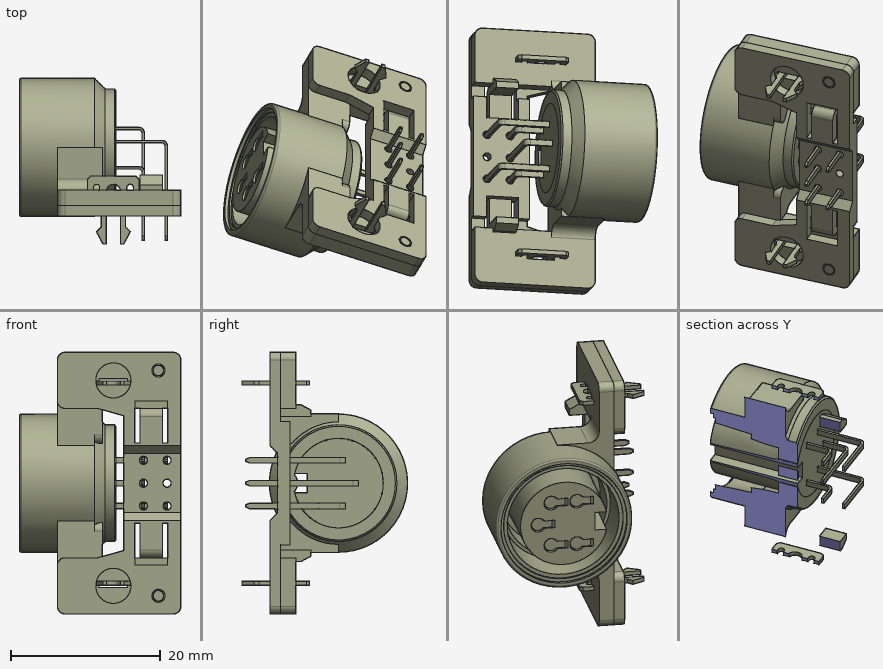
import cadquery as cq
import math


barrel_radius = 9.25
barrel_length = 12.88
cylinder_length = 10.0
collar_radius = 7.8
cone_end = cylinder_length + barrel_radius - collar_radius
barrel_edge = 0.2
mouth_fillet = 0.25
lip_radius = 8.58
lip_depth = 0.45
step_radius = 8.12
step_depth = 0.7
bore_mouth_radius = 7.6
bore_end_radius = 7.4
bore_depth = 6.0
seat_mouth_radius = 6.93
seat_end_radius = 6.75
floor_depth = cylinder_length

key_radius = 1.68
key_crest_y = -5.45

insert_radius = 6.0
insert_front_radius = 5.9
notch_half_width = 1.25
notch_floor_y = -4.2
contact_radius = 0.98
contact_floor_radius = 0.88
contact_depth = 0.28
contact_slot_width = 1.05
contact_slot_reach = 2.25
contact_slot_slope = 0.35

flange_front = 5.05
flange_rear = 21.55
half_height = 17.5
corner_radius = 1.05
flange_top_y = -5.7
joint_y = -7.75
plate_bottom_y = -9.17

shoulder_rear = 11.05
shoulder_half_width = 9.28
shoulder_fillet = 1.5
shoulder_inner_fillet = 1.12
cone_gap_half_width = 5.3
shoulder_inner_z = 3.5
opening_half_height = 9.98

peg_x = 18.55
peg_z = 15.05
peg_radius = 0.7
peg_hole_radius = 0.88

bar_front = 13.9
bar_corner_z = 9.0
slant_start_x = 10.43
bar_top_y = -6.48
bar_half_height = 8.25
recess_depth = 1.05
recess_half_height = 3.95
pin_hole_radius = 0.52

latch_slot_front = 15.4
latch_slot_rear = 19.78
latch_slot_start_z = 5.4
latch_slot_end_z = 10.95
latch_front = 16.05
latch_rear = 19.1
latch_root_radius = 1.05
latch_inner_z = opening_half_height - latch_root_radius
latch_tip_y = -3.68
latch_tip_z = 9.75
hook_z = 10.5
hook_slope_end_y = -5.05

clip_x = 12.53
clip_low_z = 13.1
clip_thickness = 0.55
clip_head_half_width = 3.45
clip_head_top_y = -3.85
clip_head_chamfer = 0.42
clip_leg_inner = 0.95
clip_leg_outer = 1.65
clip_root_outer = 1.82
clip_barb_outer = 2.15
clip_barb_end_y = -8.75
clip_relief_radius = 0.42
clip_relief_height = 0.77
clip_arch_center_y = -5.88
clip_hook_start_y = -10.65
clip_hook_tip_y = -11.27
clip_hook_tip = 2.28
clip_foot_outer = 1.4
clip_end_y = -12.9
clip_slot_half_width = 1.9
clip_slot_height = 0.85
clip_hole_radius = 2.35
clip_hole_z = 13.72

pin_thickness = 0.35
pin_width = 0.77
pin_bend_radius = 0.77
pin_end_y = -12.42
pin_tip_length = 0.55
pin_tip_width = 0.28
pin_embed = 2.8
pin_drop = 0.98
pin_pitch = 3.05
near_pin_x = 16.52
far_pin_x = 19.6
near_hole_x = 16.55
far_hole_x = 19.7

contacts = [
    (3.5, 0, near_pin_x),
    (1.75, pin_pitch, far_pin_x),
    (1.75, -pin_pitch, far_pin_x),
    (-1.75, pin_pitch, near_pin_x),
    (-1.75, -pin_pitch, near_pin_x),
]


def box(x0, x1, y0, y1, z0, z1):
    """Box between two values on each axis."""
    size = (x1 - x0, y1 - y0, z1 - z0)
    return cq.Workplane("XY").box(*size, centered=False).translate((x0, y0, z0))


def x_cylinder(radius, x0, x1, y=0.0, z=0.0):
    """Cylinder along X."""
    return cq.Workplane("YZ", origin=(x0, y, z)).circle(radius).extrude(x1 - x0)


def y_cylinder(radius, x, z, y0, y1):
    """Cylinder along Y from y0 up to y1."""
    return cq.Workplane("XZ", origin=(x, y1, z)).circle(radius).extrude(y1 - y0)


def revolve_x(points):
    """Revolve a closed outline of (X, radius) points about the X axis."""
    return cq.Workplane("XY").polyline(points).close().revolve(360, (0, 0, 0), (1, 0, 0))


def with_mirror(shape):
    """The shape together with its mirror image about Z = 0."""
    return shape.union(shape.mirror("XY"))


def rounded_slab(y0, y1):
    """Slab with the outline that flange and plate share."""
    slab = box(flange_front, flange_rear, y0, y1, -half_height, half_height)
    return slab.edges("|Y").fillet(corner_radius)


def barrel_outside():
    barrel = revolve_x([
        (0, 0),
        (0, barrel_radius),
        (cylinder_length, barrel_radius),
        (cone_end, collar_radius),
        (barrel_length - barrel_edge, collar_radius),
        (barrel_length, collar_radius - barrel_edge),
        (barrel_length, 0),
    ])
    return barrel.faces("<X").edges().fillet(mouth_fillet)


def barrel_bore():
    return revolve_x([
        (0, 0),
        (0, lip_radius),
        (lip_depth, lip_radius),
        (lip_depth, step_radius),
        (step_depth, step_radius),
        (step_depth, bore_mouth_radius),
        (bore_depth, bore_end_radius),
        (bore_depth, seat_mouth_radius),
        (floor_depth, seat_end_radius),
        (floor_depth, insert_radius),
        (barrel_length, insert_radius),
        (barrel_length, 0),
    ])


def polarising_key():
    """Rounded rib in the hole that holds the insert, fitting the notch of the insert."""
    rib = x_cylinder(key_radius, floor_depth, barrel_length, key_crest_y - key_radius)
    return rib.intersect(x_cylinder(insert_radius, floor_depth, barrel_length))


def shoulder():
    """Block beside the barrel, with its fillet towards the flange."""
    block = box(flange_front, cylinder_length, joint_y, 0, shoulder_inner_z, shoulder_half_width)
    tail = box(cylinder_length, shoulder_rear, joint_y, 0, cone_gap_half_width, shoulder_half_width)
    tail = tail.edges("|X and <Y").edges("<Z").fillet(shoulder_inner_fillet)
    fillet_top_y = flange_top_y + shoulder_fillet
    corner_z = shoulder_half_width + shoulder_fillet
    flare = box(flange_front, shoulder_rear, joint_y, fillet_top_y, shoulder_half_width, corner_z)
    flare = flare.cut(x_cylinder(shoulder_fillet, flange_front, shoulder_rear, fillet_top_y, corner_z))
    return block.union(tail).union(flare)


def make_housing():
    flange = rounded_slab(joint_y, flange_top_y)
    flange = flange.cut(
        box(flange_front, flange_rear, joint_y, flange_top_y, -opening_half_height, opening_half_height)
    )
    housing = flange.union(with_mirror(shoulder())).union(barrel_outside())
    housing = housing.cut(barrel_bore()).union(polarising_key())
    peg = y_cylinder(peg_radius, peg_x, peg_z, plate_bottom_y, joint_y)
    slot = box(
        clip_x - clip_slot_half_width, clip_x + clip_slot_half_width, joint_y, flange_top_y,
        clip_low_z, clip_low_z + clip_slot_height,
    )
    return housing.union(with_mirror(peg)).cut(with_mirror(slot))


def contact_pocket(y, z):
    """Keyhole-shaped pocket: a tapered round and a slot with a sloping end."""
    taper = cq.Solid.makeCone(
        contact_radius, contact_floor_radius, contact_depth, cq.Vector(0, y, z), cq.Vector(1, 0, 0)
    )
    slot_end = y - contact_slot_reach
    slot = (
        cq.Workplane("XY", origin=(0, 0, z - contact_slot_width / 2))
        .polyline([
            (0, y),
            (0, slot_end),
            (contact_depth, slot_end + contact_slot_slope),
            (contact_depth, y),
        ])
        .close()
        .extrude(contact_slot_width)
    )
    return slot.union(cq.Workplane(taper))


def make_insert(pins):
    insert = revolve_x([
        (0, 0),
        (0, insert_front_radius),
        (floor_depth, insert_radius),
        (barrel_length, insert_radius),
        (barrel_length, 0),
    ])
    insert = insert.cut(
        box(0, barrel_length, -insert_radius, notch_floor_y, -notch_half_width, notch_half_width)
    )
    for y, z, _ in contacts:
        insert = insert.cut(contact_pocket(y, z))
    for pin in pins:
        insert = insert.cut(pin)
    return insert


def barrel_opening():
    """Opening around the barrel, open to the front, with rounded mouth corners."""
    front_corner_z = opening_half_height + corner_radius
    arc_offset = corner_radius * (1 - math.sqrt(0.5))
    arc_x = flange_front + arc_offset
    arc_z = opening_half_height + arc_offset
    return (
        cq.Workplane("XZ", origin=(0, joint_y, 0))
        .moveTo(flange_front, -front_corner_z)
        .threePointArc((arc_x, -arc_z), (flange_front + corner_radius, -opening_half_height))
        .lineTo(slant_start_x, -opening_half_height)
        .lineTo(bar_front, -bar_corner_z)
        .lineTo(bar_front, bar_corner_z)
        .lineTo(slant_start_x, opening_half_height)
        .lineTo(flange_front + corner_radius, opening_half_height)
        .threePointArc((arc_x, arc_z), (flange_front, front_corner_z))
        .close()
        .extrude(joint_y - plate_bottom_y)
    )


def bar_recess():
    """Recess along the underside of the pin bar, with 45 degree ends."""
    mouth_half_height = recess_half_height + recess_depth
    recess_y = plate_bottom_y + recess_depth
    return (
        cq.Workplane("YZ", origin=(bar_front, 0, 0))
        .polyline([
            (plate_bottom_y, -mouth_half_height),
            (recess_y, -recess_half_height),
            (recess_y, recess_half_height),
            (plate_bottom_y, mouth_half_height),
        ])
        .close()
        .extrude(flange_rear - bar_front)
    )


def latch():
    """Arm that rounds into an upright with a hook over the flange."""
    arm = (
        cq.Workplane("YZ", origin=(latch_front, 0, 0))
        .polyline([
            (plate_bottom_y, latch_slot_start_z),
            (plate_bottom_y, opening_half_height),
            (flange_top_y, opening_half_height),
            (flange_top_y, hook_z),
            (hook_slope_end_y, hook_z),
            (latch_tip_y, latch_tip_z),
            (latch_tip_y, latch_inner_z),
            (joint_y, latch_inner_z),
            (joint_y, latch_slot_start_z),
        ])
        .close()
        .extrude(latch_rear - latch_front)
    )
    return arm.edges("|X and <Y").edges(">Z").fillet(latch_root_radius)


def make_plate():
    bar = box(bar_front, flange_rear, joint_y, bar_top_y, -bar_half_height, bar_half_height)
    plate = rounded_slab(plate_bottom_y, joint_y).cut(barrel_opening()).union(bar).cut(bar_recess())
    latch_slot = box(
        latch_slot_front, latch_slot_rear, plate_bottom_y, bar_top_y, latch_slot_start_z, latch_slot_end_z
    )
    plate = plate.cut(with_mirror(latch_slot)).union(latch()).union(latch().mirror("XY"))
    clip_hole = y_cylinder(clip_hole_radius, clip_x, clip_hole_z, plate_bottom_y, joint_y)
    peg_hole = y_cylinder(peg_hole_radius, peg_x, peg_z, plate_bottom_y, joint_y)
    plate = plate.cut(with_mirror(clip_hole)).cut(with_mirror(peg_hole))
    for x in (near_hole_x, far_hole_x):
        for z in (-pin_pitch, 0, pin_pitch):
            plate = plate.cut(y_cylinder(pin_hole_radius, x, z, plate_bottom_y, bar_top_y))
    return plate


def make_clip():
    """Flat clip: a head on the flange and two legs through it, barbed under the flange."""
    head = box(
        clip_x - clip_head_half_width, clip_x + clip_head_half_width, flange_top_y, clip_head_top_y,
        clip_low_z, clip_low_z + clip_thickness,
    )
    clip = head.edges("|Z and >Y").chamfer(clip_head_chamfer)
    for side in (-1, 1):
        leg_outline = [
            (clip_leg_inner, flange_top_y),
            (clip_root_outer, flange_top_y),
            (clip_root_outer, joint_y),
            (clip_barb_outer, joint_y),
            (clip_leg_outer, clip_barb_end_y),
            (clip_leg_outer, clip_hook_start_y),
            (clip_hook_tip, clip_hook_tip_y),
            (clip_foot_outer, clip_end_y),
            (clip_leg_inner, clip_end_y),
        ]
        leg = (
            cq.Workplane("XY", origin=(clip_x, 0, clip_low_z))
            .polyline([(side * x, y) for x, y in leg_outline])
            .close()
            .extrude(clip_thickness)
        )
        relief_x = clip_x + side * (clip_root_outer + clip_relief_radius)
        relief = (
            cq.Workplane("XY", origin=(relief_x, flange_top_y, clip_low_z))
            .slot2D(2 * clip_relief_height, 2 * clip_relief_radius, 90)
            .extrude(clip_thickness)
        )
        clip = clip.union(leg).cut(relief)
    arch = (
        cq.Workplane("XY", origin=(clip_x, clip_arch_center_y, clip_low_z))
        .circle(clip_leg_inner)
        .extrude(clip_thickness)
    )
    return clip.cut(arch)


def bent_strip(start_x, outer_x, top_y, bend_radius):
    """Block as wide as a pin, rounded where its top meets its rear."""
    block = box(start_x, outer_x, pin_end_y, top_y, -pin_width / 2, pin_width / 2)
    return block.edges("|Z and >X and >Y").fillet(bend_radius)


def make_pin(contact_y, z, leg_x):
    """Flat wire from the insert, bent towards -Y, with a tapered tip."""
    top_y = contact_y - pin_drop + pin_thickness / 2
    outer_x = leg_x + pin_thickness / 2
    start_x = barrel_length - pin_embed
    outside = bent_strip(start_x, outer_x, top_y, pin_bend_radius)
    inside = bent_strip(
        start_x, outer_x - pin_thickness, top_y - pin_thickness, pin_bend_radius - pin_thickness
    )
    tapered_outline = (
        cq.Workplane("YZ", origin=(start_x, 0, 0))
        .polyline([
            (pin_end_y, -pin_tip_width / 2),
            (pin_end_y, pin_tip_width / 2),
            (pin_end_y + pin_tip_length, pin_width / 2),
            (top_y, pin_width / 2),
            (top_y, -pin_width / 2),
            (pin_end_y + pin_tip_length, -pin_width / 2),
        ])
        .close()
        .extrude(outer_x - start_x)
    )
    return outside.cut(inside).intersect(tapered_outline).translate((0, 0, z))


pins = [make_pin(*contact) for contact in contacts]
housing = make_housing()
insert = make_insert(pins)
plate = make_plate()
clip = make_clip()
clips = [clip, clip.mirror("XY")]

bodies = [housing, insert, plate, *clips, *pins]
result = cq.Compound.makeCompound([body.solids().val() for body in bodies])